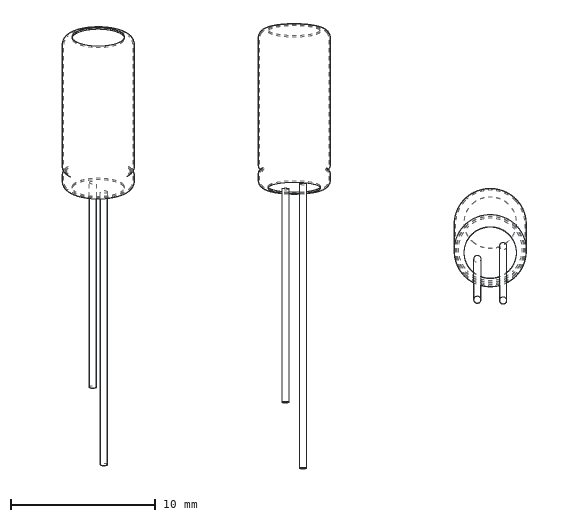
import cadquery as cq
import math


sleeve_diameter = 5.0
sleeve_height = 11.2
sleeve_thickness = 0.11
end_round = 0.578
opening_diameter = sleeve_diameter - 2 * end_round - 2 * sleeve_thickness

groove_height = 1.3
groove_half_width = 0.328
groove_depth = 0.2
groove_root_radius = 0.05

lead_diameter = 0.5
lead_spacing = 2.0
total_height = 31.22
long_lead_end = sleeve_height - total_height
short_lead_end = -15.0

flank_angle = 2 * math.atan(groove_depth / groove_half_width)
flank_radius_sum = groove_half_width / math.sin(flank_angle)
groove_crest_radius = flank_radius_sum - groove_root_radius


def turned_body(inset):
    """Solid of revolution that follows the sleeve's outside, moved inward by inset."""
    radius = sleeve_diameter / 2 - inset
    bottom = inset
    top = sleeve_height - inset
    end_radius = end_round - inset
    crest_radius = groove_crest_radius - inset
    root_radius = groove_root_radius + inset

    flat_radius = radius - end_radius
    round_middle = end_radius * math.sqrt(0.5)

    joint_radius = radius - crest_radius * (1 - math.cos(flank_angle))
    joint_height = root_radius * math.sin(flank_angle)
    crest_middle_radius = radius - crest_radius * (1 - math.cos(flank_angle / 2))
    crest_middle_height = groove_half_width - crest_radius * math.sin(flank_angle / 2)
    root = (radius - groove_depth, groove_height)

    return (
        cq.Workplane("XZ")
        .moveTo(0, bottom)
        .lineTo(flat_radius, bottom)
        .threePointArc(
            (flat_radius + round_middle, bottom + end_radius - round_middle),
            (radius, bottom + end_radius),
        )
        .lineTo(radius, groove_height - groove_half_width)
        .threePointArc(
            (crest_middle_radius, groove_height - crest_middle_height),
            (joint_radius, groove_height - joint_height),
        )
        .threePointArc(root, (joint_radius, groove_height + joint_height))
        .threePointArc(
            (crest_middle_radius, groove_height + crest_middle_height),
            (radius, groove_height + groove_half_width),
        )
        .lineTo(radius, top - end_radius)
        .threePointArc(
            (flat_radius + round_middle, top - end_radius + round_middle),
            (flat_radius, top),
        )
        .lineTo(0, top)
        .close()
        .revolve(360, (0, 0, 0), (0, 1, 0))
    )


def make_sleeve():
    """Thin shell around the can, open at both ends inside the folded lips."""
    end_openings = cq.Workplane("XY").circle(opening_diameter / 2).extrude(sleeve_height)
    return turned_body(0).cut(turned_body(sleeve_thickness)).cut(end_openings)


def make_lead(x, end_height):
    """Round wire from the can's underside down to end_height."""
    return (
        cq.Workplane("XY", origin=(x, 0, end_height))
        .circle(lead_diameter / 2)
        .extrude(sleeve_thickness - end_height)
    )


def make_can():
    """Can that fills the sleeve, in one piece with its two leads."""
    can = turned_body(sleeve_thickness)
    can = can.union(make_lead(-lead_spacing / 2, short_lead_end))
    return can.union(make_lead(lead_spacing / 2, long_lead_end))


sleeve = make_sleeve()
can_with_leads = make_can()

result = cq.Compound.makeCompound([sleeve.val(), can_with_leads.val()])